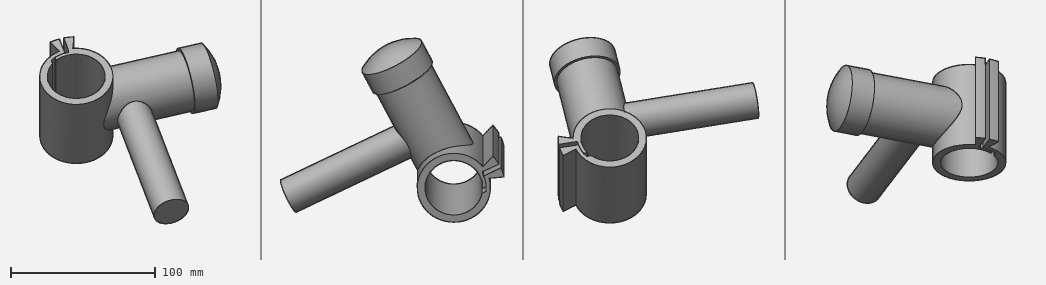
import cadquery as cq
import math

sleeve_height = 64.0
sleeve_radius = 25.4
bore_radius = 20.0

ear_radius = 35.7
ear_root_half_width = 4.8
ear_tip_half_width = 8.6
split_width = 3.0

lap_radius = 22.5
lap_clearance = 0.06
tongue_end_y = -9.3
split_corner_radius = 1.2

branch_diameter = 43.0
cap_diameter = 46.5
cap_start_y = 79.0
cap_rim_y = 95.5
cap_apex_y = 102.7

rod_diameter = 25.0
rod_y = 36.0
rod_end_x = 110.0


def left_x(radius, y):
    """X of the point on the -X half of a centred circle at the given Y."""
    return -math.sqrt(radius**2 - y**2)


def upright(outline):
    """Extrude a closed XY outline over the sleeve height."""
    return outline.extrude(sleeve_height / 2, both=True)


def upright_cylinder(radius):
    return upright(cq.Workplane("XY").circle(radius))


def make_branch():
    cap_radius = cap_diameter / 2
    dome_height = cap_apex_y - cap_rim_y
    dome_radius = (cap_radius**2 + dome_height**2) / (2 * dome_height)
    dome_mid_x = cap_radius / 2
    dome_centre_y = cap_apex_y - dome_radius
    dome_mid_y = dome_centre_y + math.sqrt(dome_radius**2 - dome_mid_x**2)
    return (
        cq.Workplane("XY")
        .lineTo(branch_diameter / 2, 0)
        .lineTo(branch_diameter / 2, cap_start_y)
        .lineTo(cap_radius, cap_start_y)
        .lineTo(cap_radius, cap_rim_y)
        .threePointArc((dome_mid_x, dome_mid_y), (0, cap_apex_y))
        .close()
        .revolve(360, (0, 0, 0), (0, 1, 0))
    )


def make_rod():
    return cq.Workplane("YZ").center(rod_y, 0).circle(rod_diameter / 2).extrude(rod_end_x)


def make_ears():
    root_x = left_x(sleeve_radius, ear_root_half_width)
    tip_x = left_x(ear_radius, ear_tip_half_width)
    inner_x = -(bore_radius + sleeve_radius) / 2
    return upright(
        cq.Workplane("XY")
        .moveTo(inner_x, ear_root_half_width)
        .lineTo(root_x, ear_root_half_width)
        .lineTo(tip_x, ear_tip_half_width)
        .threePointArc((-ear_radius, 0), (tip_x, -ear_tip_half_width))
        .lineTo(root_x, -ear_root_half_width)
        .lineTo(inner_x, -ear_root_half_width)
        .close()
    )


def make_split():
    """Gap between the ears, reaching in to the lap and rounded at its +Y inner corner."""
    half_width = split_width / 2
    lap_x = left_x(lap_radius, half_width)
    outline = (
        cq.Workplane("XY")
        .moveTo(-ear_radius - split_width, half_width)
        .lineTo(lap_x, half_width)
        .threePointArc((-lap_radius, 0), (lap_x, -half_width))
        .lineTo(-ear_radius - split_width, -half_width)
        .close()
    )
    inner_corner = cq.selectors.NearestToPointSelector((lap_x, half_width, 0))
    return upright(outline).edges("|Z").edges(inner_corner).fillet(split_corner_radius)


def lower_left_band(top_y, bottom_y):
    """Block from the sleeve's outer -X side to its axis, between two Y levels."""
    return upright(
        cq.Workplane("XY")
        .moveTo(-sleeve_radius, top_y)
        .lineTo(0, top_y)
        .lineTo(0, bottom_y)
        .lineTo(-sleeve_radius, bottom_y)
        .close()
    )


def make_lap_slit():
    """Hairline gap between the tongue and the outer wall that overlaps it."""
    ring = upright_cylinder(lap_radius).cut(upright_cylinder(lap_radius - lap_clearance))
    return ring.intersect(lower_left_band(0, tongue_end_y))


def make_tongue_end_gap():
    """Free space past the tongue tip, open to the bore."""
    gap = lower_left_band(tongue_end_y, tongue_end_y - split_width)
    return gap.intersect(upright_cylinder(lap_radius))


result = (
    upright_cylinder(sleeve_radius)
    .union(make_branch())
    .union(make_rod())
    .union(make_ears())
    .cut(upright_cylinder(bore_radius))
    .cut(make_split())
    .cut(make_lap_slit())
    .cut(make_tongue_end_gap())
)